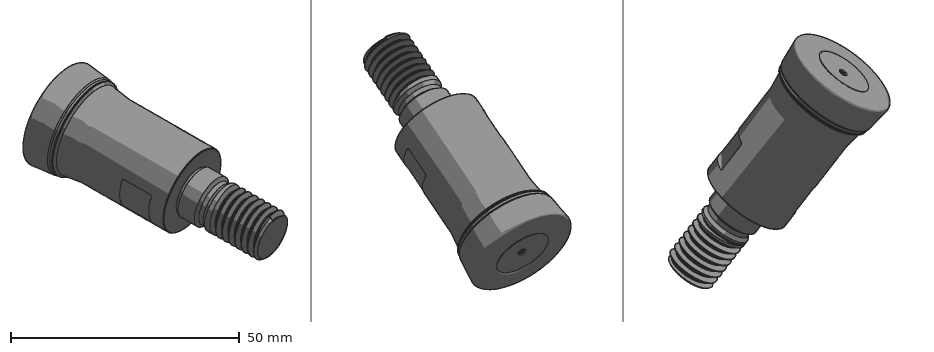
import cadquery as cq
import math

length = 60.1
rim_x = 1.6
cone_end_x = 7.45
collar_start_x = 7.8
seam_x = 8.4
collar_end_x = 8.8
neck_start_x = 9.25
neck_end_x = 13.65
body_start_x = 14.35
body_end_x = 38.1
shank_start_x = 38.9
shank_end_x = 43.35
relief_start_x = 43.95
relief_end_x = 45.1
thread_start_x = 46.0
groove_start_x = 47.3
groove_end_x = 60.0

head_d = 25.4
cone_end_d = 24.15
collar_d = 23.6
neck_d = 22.35
neck_end_d = 21.1
body_d = 21.0
shank_d = 12.5
shank_lead_d = 11.8
relief_d = 10.8
tip_d = relief_d
thread_d = 12.0
body_chamfer = 0.2

seam_width = 0.2
seam_depth = 0.05

crown_radius = 6.0
crown_d = 18.3
crown_edge_d = 24.75
rim_middle_x = 1.25
rim_middle_d = 25.25
seat_d = 14.3
seat_floor_d = 13.1
seat_step = 0.4
seat_lip_d = 13.6
seat_lip_depth = 0.15
dish_d = 10.5
dish_depth = 0.2
dish_floor_d = 9.0
dish_floor_depth = 0.25
center_hole_d = 1.5
center_hole_mouth_d = 2.0
center_hole_depth = 0.5

flats_width = 19.0
flat_start_x = 26.1
flat_end_x = 34.1
flat_corner_radius = 0.3

full_turns = 7.25
pitch = (groove_end_x - groove_start_x) / full_turns
thread_root_d = 9.85
flank_angle = 30.0
crest_width = pitch / 8
run_in_turns = 0.5
thread_overcut = 0.25


def crown_x(diameter):
    """X position of the crowned face at a given diameter."""
    offset = (diameter - crown_d) / 2
    return crown_radius - math.sqrt(crown_radius**2 - offset**2)


def turned_blank():
    """Head, body and stud as one turned solid around the X axis."""
    seat_x = crown_x(seat_d)
    seat_floor_x = seat_x + seat_step
    dish_x = seat_floor_x + dish_depth
    dish_floor_x = seat_floor_x + dish_floor_depth
    edge_x = crown_x(crown_edge_d)
    tip_chamfer = (thread_d - tip_d) / 2
    profile = (
        cq.Workplane("XY")
        .moveTo(dish_floor_x, 0)
        .lineTo(dish_floor_x, dish_floor_d / 2)
        .lineTo(dish_x, dish_d / 2)
        .lineTo(seat_floor_x, seat_floor_d / 2)
        .threePointArc((seat_x + seat_lip_depth, seat_lip_d / 2), (seat_x, seat_d / 2))
        .threePointArc((0, crown_d / 2), (edge_x, crown_edge_d / 2))
        .threePointArc((rim_middle_x, rim_middle_d / 2), (rim_x, head_d / 2))
        .lineTo(cone_end_x, cone_end_d / 2)
        .lineTo(collar_start_x, collar_d / 2)
        .lineTo(seam_x, collar_d / 2)
        .lineTo(seam_x, collar_d / 2 - seam_depth)
        .lineTo(seam_x + seam_width, collar_d / 2 - seam_depth)
        .lineTo(seam_x + seam_width, collar_d / 2)
        .lineTo(collar_end_x, collar_d / 2)
        .lineTo(neck_start_x, neck_d / 2)
        .lineTo(neck_end_x, neck_end_d / 2)
        .lineTo(body_start_x, body_d / 2)
        .lineTo(body_end_x - body_chamfer, body_d / 2)
        .lineTo(body_end_x, body_d / 2 - body_chamfer)
        .lineTo(body_end_x, shank_lead_d / 2)
        .lineTo(shank_start_x, shank_d / 2)
        .lineTo(shank_end_x, shank_d / 2)
        .lineTo(relief_start_x, relief_d / 2)
        .lineTo(relief_end_x, relief_d / 2)
        .lineTo(thread_start_x, thread_d / 2)
        .lineTo(length - tip_chamfer, thread_d / 2)
        .lineTo(length, tip_d / 2)
        .lineTo(length, 0)
        .close()
    )
    return profile.revolve(360, (0, 0, 0), (1, 0, 0))


def center_hole():
    """Blind hole in the seat, with a chamfered mouth."""
    mouth_x = crown_x(seat_d) + seat_step + dish_floor_depth
    bottom_x = mouth_x + center_hole_depth
    mouth_depth = (center_hole_mouth_d - center_hole_d) / 2
    profile = (
        cq.Workplane("XY")
        .moveTo(mouth_x, 0)
        .lineTo(mouth_x, center_hole_mouth_d / 2)
        .lineTo(mouth_x + mouth_depth, center_hole_d / 2)
        .lineTo(bottom_x, center_hole_d / 2)
        .lineTo(bottom_x, 0)
        .close()
    )
    return profile.revolve(360, (0, 0, 0), (1, 0, 0))


def wrench_flat(side):
    """Cutter for the flat on the +Y (side = 1) or -Y (side = -1) side, rounded where floor meets ends."""
    cutter_depth = body_d - flats_width
    return (
        cq.Workplane("XY")
        .box(flat_end_x - flat_start_x, cutter_depth, body_d)
        .edges("|Z and <Y" if side > 0 else "|Z and >Y")
        .fillet(flat_corner_radius)
        .translate(((flat_start_x + flat_end_x) / 2, side * (flats_width + cutter_depth) / 2, 0))
    )


def swept_groove(helix):
    """V groove with a flat root, swept along a helix that climbs Z from a start on the X axis."""
    slope = math.tan(math.radians(flank_angle))
    root_r = thread_root_d / 2
    outer_r = thread_d / 2 + thread_overcut
    outer_half = (pitch - crest_width) / 2 + thread_overcut * slope
    root_half = outer_half - (outer_r - root_r) * slope
    section = [(root_r, -root_half), (root_r, root_half), (outer_r, outer_half), (outer_r, -outer_half)]
    path = cq.Workplane(obj=helix)
    return cq.Workplane("XZ").polyline(section).close().sweep(path, isFrenet=True).val()


def thread_grooves():
    """Full-depth groove, and the run-in that leads into it by getting deeper over its length."""
    root_r = thread_root_d / 2
    full_groove = swept_groove(cq.Wire.makeHelix(pitch, full_turns * pitch, root_r))

    run_in_rise = (thread_d - thread_root_d) / 2 + thread_overcut
    run_in_length = run_in_turns * pitch
    cone_angle = math.atan2(run_in_rise, run_in_length)
    slant = 1 / math.cos(cone_angle)
    run_in_path = cq.Wire.makeHelix(
        pitch * slant, run_in_length * slant, root_r, angle=math.degrees(cone_angle)
    )
    run_in = swept_groove(run_in_path).rotate(cq.Vector(0, 0, 0), cq.Vector(1, 0, 0), 180)

    start = cq.Plane((groove_start_x, 0, 0), xDir=(0, 1, 0), normal=(1, 0, 0))
    return [groove.moved(cq.Location(start)) for groove in (full_groove, run_in)]


result = turned_blank().cut(center_hole())
for side in (1, -1):
    result = result.cut(wrench_flat(side))
for groove in thread_grooves():
    result = result.cut(cq.Workplane(obj=groove))